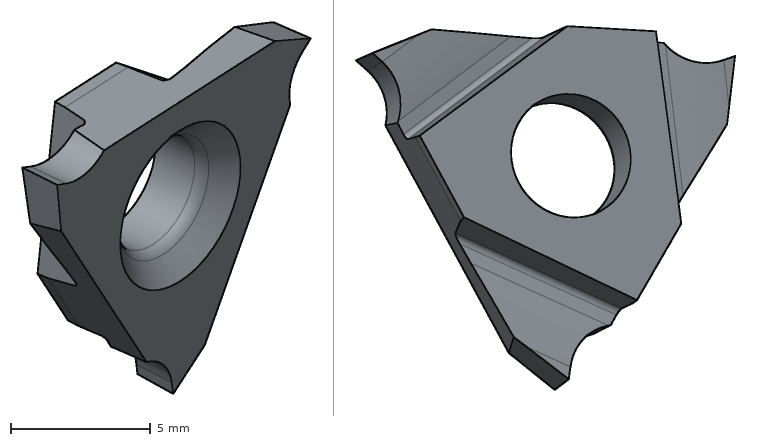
import cadquery as cq
import math


thickness = 3.18
inscribed_radius = 4.72
straight_depth = 0.5
side_draft = 4.4
tooth_count = 3
tooth_spacing = 360.0 / tooth_count
first_corner_angle = 30.0

hole_radius = 2.25
countersink_radius = 3.27
countersink_half_angle = 45.0
countersink_round = 0.70

tip = (6.70, 4.318)
flank_angle = 5.9
hollow_center = (5.48, 5.935)
hollow_radius = 1.95
flank_draft = 2.0
hollow_draft = 0.8

groove_angle = 8.0
groove_tilt = 3.4
wall_offset = 3.81
wall_lean = 3.8
groove_fillet = 0.22
floor_foot = (4.15, 1.895)
floor_bend = (4.656, 1.855)
floor_crown = (5.99, 1.70)
floor_land = (6.707, 1.655)
land_slope = 1.0

reach = 10.0
clearance = 0.5


def tangent(degrees):
    return math.tan(math.radians(degrees))


def to_yz(point):
    """Turn an outline point (u, v) into workplane (Y, Z)."""
    u, v = point
    return (-u, v)


def repeat_around_hole(shape):
    """Copies of a shape for every tooth."""
    angles = [index * tooth_spacing for index in range(tooth_count)]
    return [shape.rotate((0, 0, 0), (1, 0, 0), angle) for angle in angles]


def triangle(x, radius):
    """Triangle wire at depth x, with one side facing +Z."""
    corner_radius = radius / math.cos(math.pi / tooth_count)
    corners = []
    for index in range(tooth_count):
        angle = math.radians(first_corner_angle + index * tooth_spacing)
        corners.append((corner_radius * math.cos(angle), corner_radius * math.sin(angle)))
    return cq.Workplane("YZ", origin=(x, 0, 0)).polyline(corners).close()


def make_body():
    back_depth = thickness - straight_depth
    back_radius = inscribed_radius - back_depth * tangent(side_draft)
    front = triangle(0, inscribed_radius).extrude(straight_depth)
    start = triangle(straight_depth, inscribed_radius).wires().val()
    end = triangle(thickness, back_radius).wires().val()
    return front.union(cq.Workplane(cq.Solid.makeLoft([start, end], True)))


def corner_outline(x):
    """Wire at depth x around the corner material outside the hollow, the tip and the flank."""
    from_back = thickness - x
    flank_inset = from_back * tangent(flank_draft)
    radius = hollow_radius + from_back * tangent(hollow_draft)
    center_u, center_v = hollow_center

    tip_du = tip[0] - center_u
    tip_dv = tip[1] - center_v
    tip_distance = math.hypot(tip_du, tip_dv)
    lead_angle = math.atan2(tip_dv, tip_du) - math.acos(hollow_radius / tip_distance)

    def on_hollow(angle):
        return (center_u + radius * math.cos(angle), center_v + radius * math.sin(angle))

    top_v = inscribed_radius + clearance
    start_angle = math.pi - math.asin((top_v - center_v) / radius)
    hollow_start = on_hollow(start_angle)
    hollow_middle = on_hollow((start_angle + lead_angle + 2 * math.pi) / 2)
    lead_start = on_hollow(lead_angle)

    slope = tangent(flank_angle)
    inset_u = flank_inset / math.cos(math.radians(flank_angle))
    flank_foot_u = tip[0] - tip[1] * slope - inset_u
    lead_u = -math.sin(lead_angle)
    lead_v = math.cos(lead_angle)
    gap = flank_foot_u + lead_start[1] * slope - lead_start[0]
    travel = gap / (lead_u - lead_v * slope)
    tooth_tip = (lead_start[0] + travel * lead_u, lead_start[1] + travel * lead_v)

    flank_end = (flank_foot_u + clearance * slope, clearance)
    return (
        cq.Workplane("YZ", origin=(x, 0, 0))
        .moveTo(*to_yz(hollow_start))
        .threePointArc(to_yz(hollow_middle), to_yz(lead_start))
        .lineTo(*to_yz(tooth_tip))
        .lineTo(*to_yz(flank_end))
        .lineTo(*to_yz((reach, clearance)))
        .lineTo(*to_yz((reach, top_v)))
        .close()
        .wires()
        .val()
    )


def make_corner_cut():
    outlines = [corner_outline(0), corner_outline(thickness)]
    return cq.Workplane(cq.Solid.makeLoft(outlines, True))


def make_groove_cut():
    """Groove section swept straight along the tilted groove direction."""
    angle = math.radians(groove_angle)
    tilt = math.radians(groove_tilt)
    across = (0, -math.cos(angle), math.sin(angle))
    along = (
        math.sin(tilt),
        -math.sin(angle) * math.cos(tilt),
        -math.cos(angle) * math.cos(tilt),
    )
    plane = cq.Plane(origin=(0, 0, 0), xDir=across, normal=along)

    def section(point):
        distance, depth = point
        return (distance, -depth)

    floor_slope = (floor_bend[1] - floor_foot[1]) / (floor_bend[0] - floor_foot[0])
    lean = tangent(wall_lean)
    foot_line = floor_foot[1] - floor_foot[0] * floor_slope
    corner_depth = (foot_line + wall_offset * floor_slope) / (1 - lean * floor_slope)
    corner_distance = wall_offset + corner_depth * lean

    wall_direction = math.radians(wall_lean)
    floor_direction = math.atan(floor_slope)
    turn = math.pi / 2 - wall_direction - floor_direction
    setback = groove_fillet * math.tan(turn / 2)
    fillet_start = (
        corner_distance - setback * math.sin(wall_direction),
        corner_depth - setback * math.cos(wall_direction),
    )
    fillet_end = (
        corner_distance + setback * math.cos(floor_direction),
        corner_depth + setback * math.sin(floor_direction),
    )
    land_end = (reach, floor_land[1] - (reach - floor_land[0]) * tangent(land_slope))
    wall_top = (wall_offset - clearance * lean, -clearance)
    return (
        cq.Workplane(plane)
        .moveTo(*section(wall_top))
        .lineTo(*section(fillet_start))
        .tangentArcPoint(section(fillet_end), relative=False)
        .lineTo(*section(floor_bend))
        .threePointArc(section(floor_crown), section(floor_land))
        .lineTo(*section(land_end))
        .lineTo(*section((reach, wall_top[1])))
        .close()
        .extrude(reach, both=True)
    )


def make_hole_cut():
    """Revolved hole: cylinder, tangent round, countersink cone."""
    half_angle = math.radians(countersink_half_angle)
    cone_depth = (countersink_radius - hole_radius) / math.tan(half_angle)
    sharp_x = thickness - cone_depth
    setback = countersink_round * math.tan(half_angle / 2)
    round_end = (
        sharp_x + setback * math.cos(half_angle),
        hole_radius + setback * math.sin(half_angle),
    )
    return (
        cq.Workplane("XY")
        .lineTo(0, hole_radius)
        .lineTo(sharp_x - setback, hole_radius)
        .tangentArcPoint(round_end, relative=False)
        .lineTo(thickness, countersink_radius)
        .lineTo(thickness, 0)
        .close()
        .revolve(360, (0, 0, 0), (1, 0, 0))
    )


result = make_body()
for cut in repeat_around_hole(make_corner_cut()):
    result = result.cut(cut)
for cut in repeat_around_hole(make_groove_cut()):
    result = result.cut(cut)
result = result.cut(make_hole_cut())